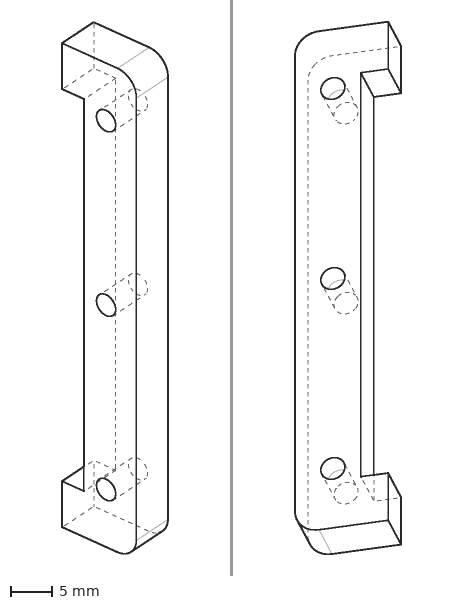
import cadquery as cq

width = 11.7
thickness = 6.0
height = 70.0

recess_depth = 3.4
foot_height = 6.65

corner_radius = 3.0

hole_diameter = 3.0
hole_x = 6.9
hole_spacing = 26.7


def make_bar():
    """Upright bar with both +X corners rounded."""
    bar = cq.Workplane("XY").box(width, thickness, height)
    return bar.edges("|Y and >X").fillet(corner_radius)


def make_recess():
    """Block that clears the -X side between the two feet."""
    recess = cq.Workplane("XY").box(recess_depth, thickness, height - 2 * foot_height)
    return recess.translate(((recess_depth - width) / 2, 0, 0))


def make_holes():
    """Three cylinders running through the thickness along Y."""
    x = hole_x - width / 2
    centers = [(x, step * hole_spacing) for step in (-1, 0, 1)]
    sketch = cq.Workplane("XZ").pushPoints(centers).circle(hole_diameter / 2)
    return sketch.extrude(thickness, both=True)


result = make_bar().cut(make_recess()).cut(make_holes())